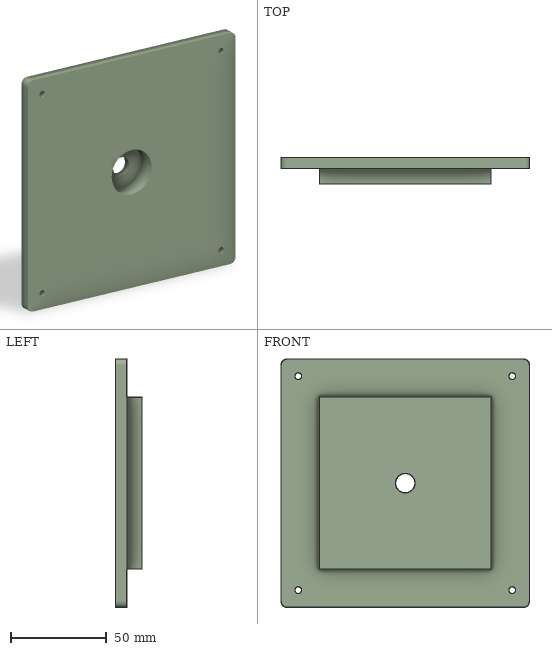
import cadquery as cq

plate_side = 130.0
plate_thickness = 6.0
corner_radius = 3.2

pad_side = 90.0
total_depth = 14.0
pad_height = total_depth - plate_thickness

center_hole_diameter = 10.0
counterbore_diameter = 25.0
counterbore_depth = 10.0
mount_hole_diameter = 3.4
mount_hole_spacing = 111.9

plate = (
    cq.Workplane("XZ")
    .rect(plate_side, plate_side)
    .extrude(plate_thickness)
    .edges("|Y")
    .fillet(corner_radius)
)

pad = (
    cq.Workplane("XZ", origin=(0, -plate_thickness, 0))
    .rect(pad_side, pad_side)
    .extrude(pad_height)
)

center_hole = cq.Workplane("XZ").circle(center_hole_diameter / 2).extrude(total_depth)

counterbore = cq.Workplane("XZ").circle(counterbore_diameter / 2).extrude(counterbore_depth)

mount_holes = (
    cq.Workplane("XZ")
    .rect(mount_hole_spacing, mount_hole_spacing, forConstruction=True)
    .vertices()
    .circle(mount_hole_diameter / 2)
    .extrude(plate_thickness)
)

result = plate.union(pad).cut(center_hole).cut(counterbore).cut(mount_holes)